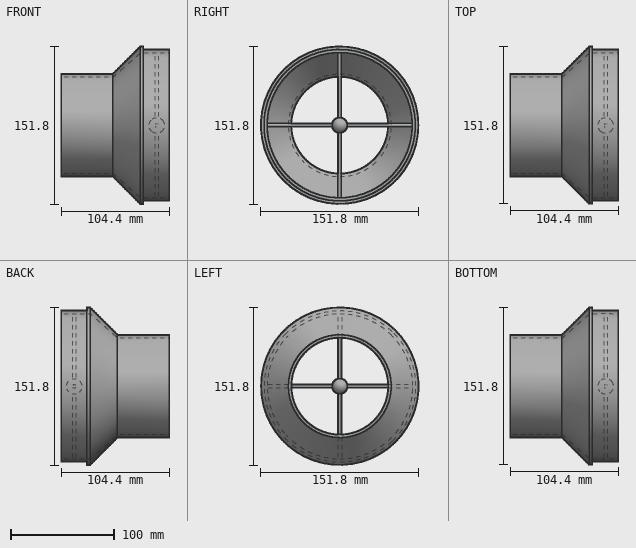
import cadquery as cq

wall = 3.0
tube_length = 50.0
tube_radius = 49.5
cone_length = 26.37
shoulder_width = 3.0
shoulder_radius = 75.91
collar_length = 25.0

ball_radius = 7.5
spoke_radius = 1.75
spoke_count = 4

tube_bore = tube_radius - wall
collar_radius = shoulder_radius - wall
collar_bore = collar_radius - wall

shoulder_start = tube_length + cone_length
collar_start = shoulder_start + shoulder_width
collar_end = collar_start + collar_length
spider_x = collar_start + collar_length / 2


def make_shell():
    """Revolve the (x, radius) wall outline about the X axis."""
    outline = [
        (0, tube_bore),
        (0, tube_radius),
        (tube_length, tube_radius),
        (shoulder_start, shoulder_radius),
        (collar_start, shoulder_radius),
        (collar_start, collar_radius),
        (collar_end, collar_radius),
        (collar_end, collar_bore),
        (shoulder_start, collar_bore),
        (tube_length, tube_bore),
    ]
    return cq.Workplane("XY").polyline(outline).close().revolve(360, (0, 0, 0), (1, 0, 0))


def make_spider():
    """Ball on the axis with spokes that end halfway into the collar wall."""
    spoke_length = collar_bore + wall / 2
    spoke = cq.Workplane("XY").circle(spoke_radius).extrude(spoke_length)
    spider = cq.Workplane("XY").sphere(ball_radius)
    for index in range(spoke_count):
        angle = index * 360 / spoke_count
        spider = spider.union(spoke.rotate((0, 0, 0), (1, 0, 0), angle))
    return spider.translate((spider_x, 0, 0))


result = make_shell().union(make_spider())